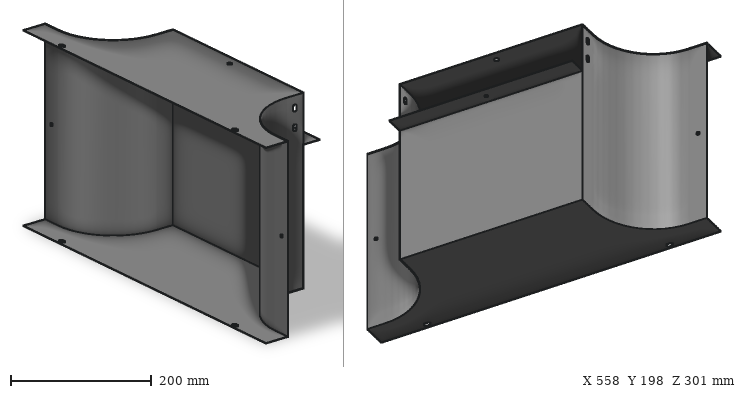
import cadquery as cq

length = 558.0
height = 301.0
depth = 198.0
sheet = 1.0

neck_width = 301.0
ledge_depth = 29.0
neck_straight = 30.0
inner_bend_radius = 100.0
outer_bend_radius = inner_bend_radius - sheet
ledge_drop = 79.0

small_hole = 5.0
plate_hole = 7.0
slot_width = 6.5
slot_length = 10.5
edge_offset = 15.5
wing_hole_offset = 14.5
front_slot_offset = 7.0
front_slot_spacing = 398.5
wall_slot_drops = (20.0, 50.0)

half_length = length / 2
half_neck = neck_width / 2
front_y = -depth / 2
plate_back_y = depth / 2 - ledge_depth
bend_center_y = plate_back_y - neck_straight
bend_center_x = half_neck + outer_bend_radius
wing_y = bend_center_y - outer_bend_radius
top_z = height / 2
bottom_z = -top_z
ledge_z = top_z - ledge_drop
cutter_length = 4 * sheet


def box(size_x, size_y, size_z, min_y, min_z):
    """Box centered in X, standing on the given lowest Y and Z."""
    return (
        cq.Workplane("XY")
        .box(size_x, size_y, size_z, centered=(True, False, False))
        .translate((0, min_y, min_z))
    )


def bend(workplane, side, radius, reverse=False):
    """Add the quarter bend from neck to wing, or from wing to neck if reversed."""
    diagonal = radius * 0.5 ** 0.5
    middle = (side * (bend_center_x - diagonal), bend_center_y - diagonal)
    neck_end = (side * (bend_center_x - radius), bend_center_y)
    wing_end = (side * bend_center_x, bend_center_y - radius)
    return workplane.threePointArc(middle, neck_end if reverse else wing_end)


def cover_plate(base_z):
    """Flat plate with two concave corners."""
    outline = (
        cq.Workplane("XY", origin=(0, 0, base_z))
        .moveTo(-half_length, front_y)
        .lineTo(half_length, front_y)
        .lineTo(half_length, wing_y)
        .lineTo(bend_center_x, wing_y)
    )
    outline = bend(outline, 1, outer_bend_radius, reverse=True)
    outline = (
        outline.lineTo(half_neck, plate_back_y)
        .lineTo(-half_neck, plate_back_y)
        .lineTo(-half_neck, bend_center_y)
    )
    outline = bend(outline, -1, outer_bend_radius)
    return outline.lineTo(-half_length, wing_y).close().extrude(sheet)


def side_wall(side):
    """Bent wall: straight at the neck, quarter round, straight at the wing."""
    outline = (
        cq.Workplane("XY", origin=(0, 0, bottom_z))
        .moveTo(side * half_neck, plate_back_y)
        .lineTo(side * half_neck, bend_center_y)
    )
    outline = bend(outline, side, outer_bend_radius)
    outline = (
        outline.lineTo(side * half_length, wing_y)
        .lineTo(side * half_length, wing_y - sheet)
        .lineTo(side * bend_center_x, wing_y - sheet)
    )
    outline = bend(outline, side, inner_bend_radius, reverse=True)
    return outline.lineTo(side * (half_neck - sheet), plate_back_y).close().extrude(height)


body = cover_plate(bottom_z).union(cover_plate(top_z - sheet))
for wall_side in (-1, 1):
    body = body.union(side_wall(wall_side))
back_wall = box(neck_width, sheet, ledge_z - bottom_z, plate_back_y - sheet, bottom_z)
ledge = box(neck_width, ledge_depth + sheet, sheet, plate_back_y - sheet, ledge_z - sheet)
body = body.union(back_wall).union(ledge)

ledge_hole = (
    cq.Workplane("XY", origin=(0, depth / 2 - edge_offset, ledge_z - sheet / 2))
    .circle(small_hole / 2)
    .extrude(cutter_length / 2, both=True)
)
top_hole = (
    cq.Workplane("XY", origin=(0, plate_back_y - edge_offset, top_z - sheet / 2))
    .circle(plate_hole / 2)
    .extrude(cutter_length / 2, both=True)
)
body = body.cut(ledge_hole).cut(top_hole)

front_slots = (
    cq.Workplane("XY", origin=(0, front_y + front_slot_offset, 0))
    .pushPoints([(-front_slot_spacing / 2, 0), (front_slot_spacing / 2, 0)])
    .slot2D(slot_length, slot_width)
    .extrude(height, both=True)
)
body = body.cut(front_slots)

wall_slots = (
    cq.Workplane("YZ")
    .pushPoints([(plate_back_y - edge_offset, top_z - drop) for drop in wall_slot_drops])
    .slot2D(slot_length, slot_width, 90)
    .extrude(length, both=True)
)
body = body.cut(wall_slots)

wing_hole_x = half_length - wing_hole_offset
wing_holes = (
    cq.Workplane("XZ", origin=(0, wing_y - sheet / 2, 0))
    .pushPoints([(-wing_hole_x, 0), (wing_hole_x, 0)])
    .circle(small_hole / 2)
    .extrude(cutter_length / 2, both=True)
)
result = body.cut(wing_holes)